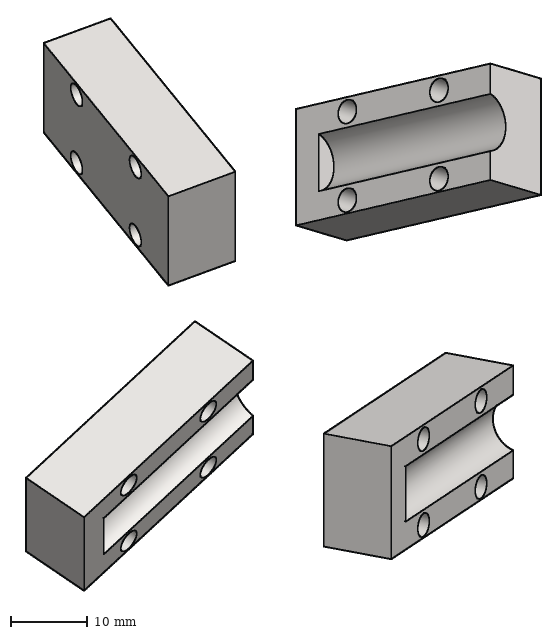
import cadquery as cq

length = 34.0
thickness = 10.0
height_above_axis = 8.0
height_below_axis = 7.8
height = height_above_axis + height_below_axis

rod_diameter = 8.0
seat_depth = 3.0
end_wall = 4.0
seat_length = length - end_wall

hole_diameter = 3.2
hole_spacing_x = 16.0
hole_spacing_z = 12.0


def make_block():
    """Plain block with its -Y face at Y = 0."""
    return cq.Workplane("XY").box(length, thickness, height, centered=(True, False, False)).translate(
        (0, 0, -height_below_axis)
    )


def make_rod_seat():
    """Rod-shaped cutter whose axis lies outside the +Y face, leaving a shallow seat."""
    axis_y = thickness - seat_depth + rod_diameter / 2
    return (
        cq.Workplane("YZ", origin=(-length / 2, axis_y, 0))
        .circle(rod_diameter / 2)
        .extrude(seat_length)
    )


def make_screw_holes():
    """Four cutters along Y on a rectangular pattern centred on the rod axis."""
    return (
        cq.Workplane("XZ", origin=(0, thickness, 0))
        .rarray(hole_spacing_x, hole_spacing_z, 2, 2)
        .circle(hole_diameter / 2)
        .extrude(thickness)
    )


result = make_block().cut(make_rod_seat()).cut(make_screw_holes())